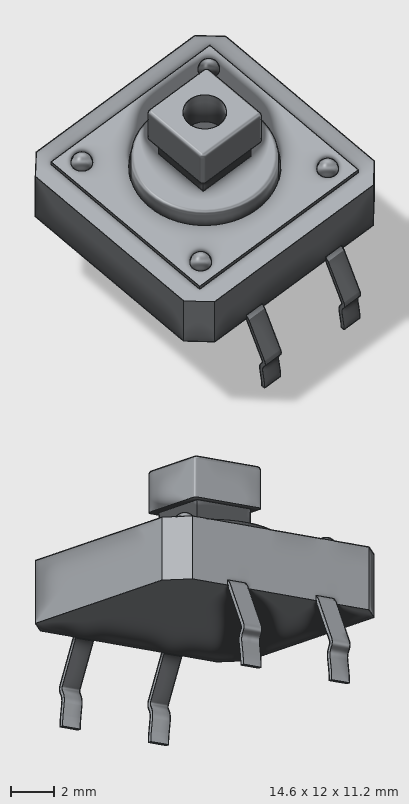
import cadquery as cq
import math


housing_side = 12.0
housing_height = 2.99
corner_chamfer = 1.0
plunger_hole_diameter = 7.0
recess_depth = 1.5

cover_side = housing_side - 2 * corner_chamfer
cover_thickness = 0.2
dome_diameter = 1.0
dome_spacing = 8.0

top_above_housing = 4.21
flange_diameter = 6.8
flange_height = 1.0
cap_side = 3.8
cap_height = 2.0
cap_hole_diameter = 2.0
cap_hole_depth = cap_height
stem_side = 3.0
stem_height = top_above_housing - flange_height - cap_height
edge_round = 0.2

overall_length = 14.57
lead_width = 1.0
lead_spacing = 5.0
lead_thickness = 0.2
lead_drop = 4.0
lead_wall_top = 0.25
lead_wall_bottom = -0.05
splay_angle = 27.0
tuck_angle = -35.0
shin_angle = 9.0
knee_radius = 0.3
waist_radius = 0.71
shin_length = 0.6


def make_housing():
    return (
        cq.Workplane("XY")
        .rect(housing_side, housing_side)
        .extrude(housing_height)
        .edges("|Z")
        .chamfer(corner_chamfer)
        .faces(">Z")
        .workplane(centerOption="CenterOfMass")
        .hole(plunger_hole_diameter, recess_depth)
    )


def make_cover():
    plate = (
        cq.Workplane("XY", origin=(0, 0, housing_height))
        .rect(cover_side, cover_side)
        .circle(plunger_hole_diameter / 2)
        .extrude(cover_thickness)
    )
    domes = (
        cq.Workplane("XY", origin=(0, 0, housing_height + cover_thickness))
        .rect(dome_spacing, dome_spacing, forConstruction=True)
        .vertices()
        .eachpoint(cq.Solid.makeSphere(dome_diameter / 2, angleDegrees1=0), combine=False)
    )
    return plate.union(domes)


def make_plunger():
    flange = (
        cq.Workplane("XY", origin=(0, 0, housing_height - recess_depth))
        .circle(flange_diameter / 2)
        .extrude(recess_depth + flange_height)
        .faces(">Z")
        .edges()
        .fillet(edge_round)
    )
    stem = (
        flange.faces(">Z")
        .workplane(centerOption="CenterOfMass")
        .rect(stem_side, stem_side)
        .extrude(stem_height, combine=False)
    )
    cap = (
        stem.faces(">Z")
        .workplane(centerOption="CenterOfMass")
        .rect(cap_side, cap_side)
        .extrude(cap_height, combine=False)
        .edges("|Z or >Z")
        .fillet(edge_round)
        .faces(">Z")
        .workplane(centerOption="CenterOfMass")
        .hole(cap_hole_diameter, cap_hole_depth)
    )
    return flange.union(stem).union(cap)


def step(point, angle, length):
    """Move from an (x, z) point along a heading measured outward from straight down."""
    heading = math.radians(angle)
    return (point[0] + length * math.sin(heading), point[1] - length * math.cos(heading))


def bend_side(pivot, radius, start_angle, end_angle):
    """Middle and end points of one face of a bend about a pivot; a positive radius lies outward."""
    middle_angle = (start_angle + end_angle) / 2
    return [step(pivot, angle + 90, radius) for angle in (middle_angle, end_angle)]


def make_lead_blank():
    """The +X lead, centred on Y = 0."""
    half = lead_thickness / 2
    wall_x = housing_side / 2
    reach = (overall_length - housing_side) / 2

    splay = math.radians(splay_angle)
    knee_bulge = (knee_radius + half) * (1 - math.cos(splay))
    leg_length = (reach - lead_thickness * math.cos(splay) - knee_bulge) / math.sin(splay)
    inner_start = (wall_x, lead_wall_bottom)
    outer_start = step(inner_start, splay_angle + 90, lead_thickness)
    inner_knee = step(inner_start, splay_angle, leg_length)
    outer_knee = step(outer_start, splay_angle, leg_length)

    knee_pivot = step(inner_knee, splay_angle - 90, knee_radius - half)
    outer_knee_arc = bend_side(knee_pivot, knee_radius + half, splay_angle, tuck_angle)
    inner_knee_arc = bend_side(knee_pivot, knee_radius - half, splay_angle, tuck_angle)

    waist_pivot = step(outer_knee_arc[-1], tuck_angle + 90, waist_radius - half)
    outer_waist_arc = bend_side(waist_pivot, -(waist_radius - half), tuck_angle, shin_angle)
    inner_waist_arc = bend_side(waist_pivot, -(waist_radius + half), tuck_angle, shin_angle)

    outer_shin_end = step(outer_waist_arc[-1], shin_angle, shin_length)
    inner_shin_end = step(inner_waist_arc[-1], shin_angle, shin_length)
    foot_drop = (outer_shin_end[1] + inner_shin_end[1]) / 2 + lead_drop
    foot_radius = foot_drop / math.sin(math.radians(shin_angle))
    foot_pivot = step(inner_shin_end, shin_angle - 90, foot_radius - half)
    outer_foot_arc = bend_side(foot_pivot, foot_radius + half, shin_angle, 0)
    inner_foot_arc = bend_side(foot_pivot, foot_radius - half, shin_angle, 0)

    profile = (
        cq.Workplane("XZ", origin=(0, lead_width / 2, 0))
        .moveTo(wall_x, lead_wall_top)
        .lineTo(*outer_start)
        .lineTo(*outer_knee)
        .threePointArc(*outer_knee_arc)
        .threePointArc(*outer_waist_arc)
        .lineTo(*outer_shin_end)
        .threePointArc(*outer_foot_arc)
        .lineTo(*inner_foot_arc[-1])
        .threePointArc(inner_foot_arc[0], inner_shin_end)
        .lineTo(*inner_waist_arc[-1])
        .threePointArc(inner_waist_arc[0], inner_knee_arc[-1])
        .threePointArc(inner_knee_arc[0], inner_knee)
        .lineTo(*inner_start)
        .close()
    )
    return profile.extrude(lead_width)


def make_leads():
    blank = make_lead_blank()
    leads = []
    for turn in (0, 180):
        for y in (-lead_spacing / 2, lead_spacing / 2):
            leads.append(blank.translate((0, y, 0)).rotate((0, 0, 0), (0, 0, 1), turn))
    return leads


housing = make_housing()
cover = make_cover()
plunger = make_plunger()
leads = make_leads()

result = cq.Compound.makeCompound(
    [housing.val(), cover.val(), plunger.val(), *[lead.val() for lead in leads]]
)